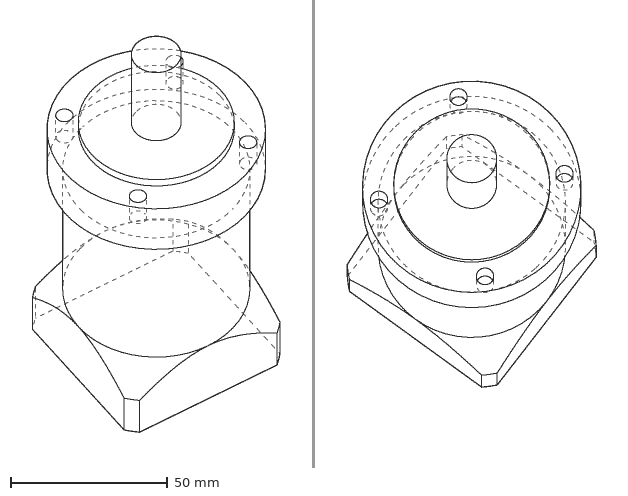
import cadquery as cq

total_height = 135.1
base_corner_height = 15.0
base_height = 25.0
flange_bottom = 81.0
flange_top = 100.1
pilot_top = 103.1

shaft_diameter = 16.0
pilot_diameter = 50.0
flange_diameter = 70.0
body_diameter = 60.0
base_width = body_diameter
base_corner_diameter = 80.0

hole_count = 4
hole_circle_diameter = 60.0
hole_diameter = 5.5
hole_depth = 10.0
first_hole_angle = 45


def disc(diameter, bottom, top):
    """Upright cylinder on the Z axis between two heights."""
    return cq.Workplane("XY").workplane(offset=bottom).circle(diameter / 2).extrude(top - bottom)


def square_base():
    """Square block whose corners are trimmed by a turned outline: a cylinder with a cone above it."""
    block = cq.Workplane("XY").rect(base_width, base_width).extrude(base_height)
    turned_outline = (
        cq.Workplane("XZ")
        .lineTo(base_corner_diameter / 2, 0)
        .lineTo(base_corner_diameter / 2, base_corner_height)
        .lineTo(body_diameter / 2, base_height)
        .lineTo(0, base_height)
        .close()
        .revolve(360, (0, 0), (0, 1))
    )
    return block.intersect(turned_outline)


def mounting_holes():
    """Blind holes sunk into the flange face, on the diagonals of the base."""
    return (
        cq.Workplane("XY")
        .workplane(offset=flange_top)
        .polarArray(hole_circle_diameter / 2, first_hole_angle, 360, hole_count)
        .circle(hole_diameter / 2)
        .extrude(-hole_depth)
    )


body = disc(body_diameter, base_height, flange_bottom)
flange = disc(flange_diameter, flange_bottom, flange_top)
pilot = disc(pilot_diameter, flange_top, pilot_top)
shaft = disc(shaft_diameter, pilot_top, total_height)

result = (
    square_base()
    .union(body)
    .union(flange)
    .union(pilot)
    .union(shaft)
    .cut(mounting_holes())
)